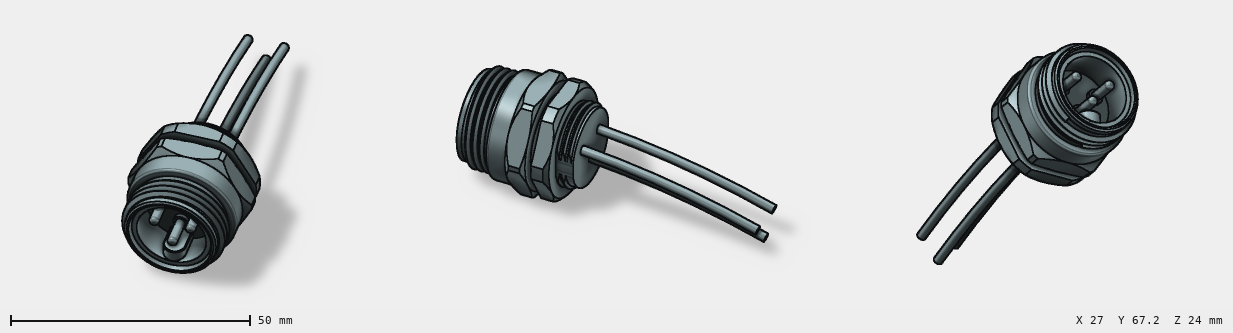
import cadquery as cq
import math


COLLAR_FRONT = 7.85
HEX_FRONT = 12.35
HEX_REAR = 17.0
NUT_FRONT = 18.8
NUT_REAR = 22.5
BODY_REAR = 26.45
OVERALL_LENGTH = 67.2

ACROSS_FLATS = 24.0
FLAT_RADIUS = ACROSS_FLATS / 2
HEX_CORNER_RADIUS = 13.5
NUT_CORNER_RADIUS = 12.95
NOSE_RADIUS = 10.0
NOSE_LENGTH = 1.4
FRONT_RADIUS = 10.1
NECK_RADIUS = 10.3
NECK_FRONT = 6.7
REAR_RADIUS = 8.7
REAR_CORE_RADIUS = 8.6
REAR_FLAT_HALF_WIDTH = 8.5
COLLAR_EDGE_RADIUS = 0.55
NOSE_CHAMFER_WIDTH = 0.55
NOSE_CHAMFER_LENGTH = 0.3
HEX_REAR_CHAMFER = 0.55

RING_RADIUS = 10.0
RING_SECTION_RADIUS = (NUT_FRONT - HEX_REAR) / 2

FRONT_PITCH = 1.6
FRONT_CREST_RADIUS = 11.1
FRONT_THREAD_START = 1.8
FRONT_THREAD_ANGLE = 234
FRONT_TURNS = 2.9
REAR_PITCH = 1.4
REAR_CREST_RADIUS = 9.5
REAR_THREAD_END = 25.6
REAR_TURNS = 4
CREST_HALF_WIDTH = 0.1
THREAD_EMBED = 0.2
FLANK_ANGLE = math.radians(30)

MOUTH_RADIUS = 9.1
LEDGE_RADIUS = 8.65
LEDGE_DEPTH = 1.0
CAVITY_RADIUS = 7.6
CAVITY_DEPTH = 8.4
KEY_HALF_WIDTH = 2.4
KEY_TOP = -4.9
KEY_CHAMFER = 0.2
KEY_TIP = 1.1

CONTACT_X = 3.95
CONTACT_Z = 2.35
CONTACTS = [(-CONTACT_X, CONTACT_Z), (CONTACT_X, CONTACT_Z), (0, -CONTACT_Z)]
PIN_RADIUS = 1.1
PIN_TIP = 0.95
PIN_NOSE_FILLET = 0.8
PIN_COLLAR_RADIUS = 1.6
PIN_COLLAR_LENGTH = 1.0

WIRE_RADIUS = 1.0
WIRE_START = (25.5, -0.1)
WIRE_MIDDLE = (46.5, -2.75)
WIRE_END_DROP = 7.85
WIRE_END_TILT = math.radians(17.5)


def revolved(profile):
    """Revolve a closed (radius, y) profile sketched on XY about the Y axis."""
    return profile.close().revolve(360, (0, 0, 0), (0, 1, 0))


def cylinder(radius, start, end, x=0, z=0):
    """Cylinder parallel to Y between two stations."""
    plane = cq.Plane(origin=(x, start, z), xDir=(1, 0, 0), normal=(0, 1, 0))
    return cq.Workplane(plane).circle(radius).extrude(end - start)


def hexagon(start, end):
    """Hexagonal prism with flats facing +Z and -Z and corners on the X axis."""
    plane = cq.Plane(origin=(0, start, 0), xDir=(0, 0, 1), normal=(0, 1, 0))
    return cq.Workplane(plane).polygon(6, ACROSS_FLATS, circumscribed=True).extrude(end - start)


def hex_flange():
    """Fixed hexagon whose corners are turned down to cones on both sides."""
    front_chamfer = HEX_CORNER_RADIUS - FLAT_RADIUS
    blank = revolved(
        cq.Workplane("XY")
        .moveTo(0, HEX_FRONT)
        .lineTo(FLAT_RADIUS, HEX_FRONT)
        .lineTo(HEX_CORNER_RADIUS, HEX_FRONT + front_chamfer)
        .lineTo(HEX_CORNER_RADIUS, HEX_REAR - HEX_REAR_CHAMFER)
        .lineTo(FLAT_RADIUS, HEX_REAR)
        .lineTo(0, HEX_REAR)
    )
    return hexagon(HEX_FRONT, HEX_REAR).intersect(blank)


def lock_nut():
    """Nut on the stem, chamfered on its rear side only."""
    chamfer = NUT_CORNER_RADIUS - FLAT_RADIUS
    blank = cylinder(NUT_CORNER_RADIUS, NUT_FRONT, NUT_REAR).faces(">Y").chamfer(chamfer)
    return hexagon(NUT_FRONT, NUT_REAR).intersect(blank)


def sealing_ring():
    """Ring bulging in a half circle between hexagon and nut, filled inward to the stem."""
    middle = (HEX_REAR + NUT_FRONT) / 2
    section_center = RING_RADIUS - RING_SECTION_RADIUS
    return revolved(
        cq.Workplane("XY")
        .moveTo(0, HEX_REAR)
        .lineTo(section_center, HEX_REAR)
        .threePointArc((RING_RADIUS, middle), (section_center, NUT_FRONT))
        .lineTo(0, NUT_FRONT)
    )


def thread(root_radius, crest_radius, pitch, turns, start, start_angle):
    """Right-handed ridge about Y; start_angle turns its first end from +X toward +Z."""
    base_radius = root_radius - THREAD_EMBED
    base_half_width = CREST_HALF_WIDTH + (crest_radius - base_radius) * math.tan(FLANK_ANGLE)
    helix = cq.Wire.makeHelix(pitch, pitch * turns, base_radius)
    ridge = (
        cq.Workplane("XZ")
        .moveTo(base_radius, -base_half_width)
        .lineTo(crest_radius, -CREST_HALF_WIDTH)
        .lineTo(crest_radius, CREST_HALF_WIDTH)
        .lineTo(base_radius, base_half_width)
        .close()
        .sweep(cq.Workplane(helix), isFrenet=True)
    )
    along_y = ridge.rotate((0, 0, 0), (1, 0, 0), -90)
    return along_y.rotate((0, 0, 0), (0, 1, 0), -start_angle).translate((0, start, 0))


def front_body():
    """Threaded mouth, neck and round collar in front of the hexagon."""
    rim_radius = NOSE_RADIUS - NOSE_CHAMFER_WIDTH
    nose = revolved(
        cq.Workplane("XY")
        .moveTo(0, 0)
        .lineTo(rim_radius, 0)
        .lineTo(NOSE_RADIUS, NOSE_CHAMFER_LENGTH)
        .lineTo(NOSE_RADIUS, HEX_FRONT)
        .lineTo(0, HEX_FRONT)
    )
    shell = cylinder(FRONT_RADIUS, NOSE_LENGTH, HEX_FRONT)
    neck = cylinder(NECK_RADIUS, NECK_FRONT, HEX_FRONT)
    collar = cylinder(FLAT_RADIUS, COLLAR_FRONT, HEX_FRONT).faces("<Y").edges().fillet(COLLAR_EDGE_RADIUS)
    ridge = thread(
        FRONT_RADIUS, FRONT_CREST_RADIUS, FRONT_PITCH, FRONT_TURNS, FRONT_THREAD_START, FRONT_THREAD_ANGLE
    )
    return nose.union(shell).union(ridge).union(neck).union(collar)


def rear_body():
    """Threaded stem with +X and -X flats; its round core just breaks through them."""
    start = REAR_THREAD_END - REAR_PITCH * REAR_TURNS
    ridge = thread(REAR_RADIUS, REAR_CREST_RADIUS, REAR_PITCH, REAR_TURNS, start, 0)
    stem = cylinder(REAR_RADIUS, HEX_REAR, BODY_REAR).union(ridge)
    length = BODY_REAR - HEX_REAR
    between_flats = cq.Workplane("XY").box(2 * REAR_FLAT_HALF_WIDTH, length, ACROSS_FLATS)
    flattened = stem.intersect(between_flats.translate((0, HEX_REAR + length / 2, 0)))
    return flattened.union(cylinder(REAR_CORE_RADIUS, HEX_REAR, BODY_REAR))


def socket():
    """Material removed from the mouth: tapered wall, ledge and round cavity."""
    return revolved(
        cq.Workplane("XY")
        .moveTo(0, 0)
        .lineTo(MOUTH_RADIUS, 0)
        .lineTo(LEDGE_RADIUS, LEDGE_DEPTH)
        .lineTo(CAVITY_RADIUS, LEDGE_DEPTH)
        .lineTo(CAVITY_RADIUS, CAVITY_DEPTH)
        .lineTo(0, CAVITY_DEPTH)
    )


def key():
    """Polarising key on the cavity wall, with a half-round end toward the mouth."""
    nose_center = KEY_TIP + KEY_HALF_WIDTH
    bar = (
        cq.Workplane("XY", origin=(0, 0, KEY_TOP))
        .moveTo(-KEY_HALF_WIDTH, CAVITY_DEPTH)
        .lineTo(-KEY_HALF_WIDTH, nose_center)
        .threePointArc((0, KEY_TIP), (KEY_HALF_WIDTH, nose_center))
        .lineTo(KEY_HALF_WIDTH, CAVITY_DEPTH)
        .close()
        .extrude(-CAVITY_RADIUS)
        .faces(">Z")
        .chamfer(KEY_CHAMFER)
    )
    return bar.intersect(cylinder(LEDGE_RADIUS, LEDGE_DEPTH, CAVITY_DEPTH))


def pin(x, z):
    """Rounded contact standing on a wider collar at the cavity floor."""
    shank = cylinder(PIN_RADIUS, PIN_TIP, CAVITY_DEPTH, x, z).faces("<Y").edges().fillet(PIN_NOSE_FILLET)
    collar = cylinder(PIN_COLLAR_RADIUS, CAVITY_DEPTH - PIN_COLLAR_LENGTH, CAVITY_DEPTH, x, z)
    return shank.union(collar)


def wire(x, z):
    """Wire bent along one arc; its square-cut end reaches the overall length."""
    end_y = OVERALL_LENGTH - WIRE_RADIUS * math.sin(WIRE_END_TILT)
    path = (
        cq.Workplane("YZ", origin=(x, 0, z))
        .moveTo(*WIRE_START)
        .threePointArc(WIRE_MIDDLE, (end_y, -WIRE_END_DROP))
    )
    start = path.val().startPoint()
    section = cq.Plane(origin=start.toTuple(), xDir=(1, 0, 0), normal=path.val().tangentAt(0).toTuple())
    return cq.Workplane(section).circle(WIRE_RADIUS).sweep(path)


front_half = front_body().cut(socket()).union(hex_flange()).union(key())
rear_half = rear_body().union(lock_nut()).union(sealing_ring())
for contact_x, contact_z in CONTACTS:
    front_half = front_half.union(pin(contact_x, contact_z))
    rear_half = rear_half.union(wire(contact_x, contact_z))

result = front_half.union(rear_half)